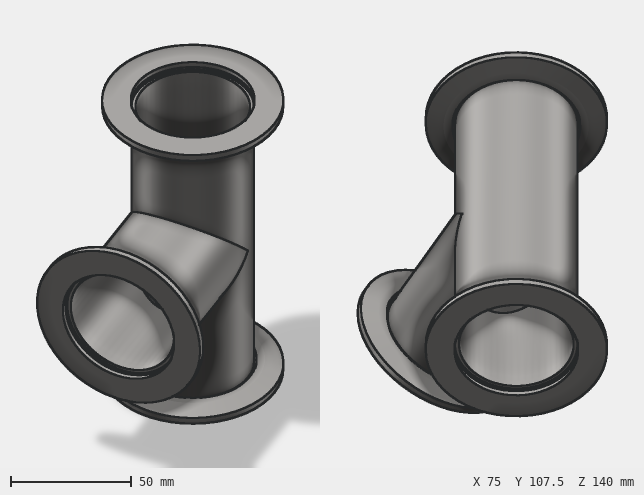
import cadquery as cq
import math

run_length = 140.0
half_run = run_length / 2
branch_reach = 70.0

tube_outer_radius = 50.8 / 2
tube_inner_radius = 47.5 / 2
tube_setback = 3.6

flange_outer_radius = 75.0 / 2
flange_hub_radius = 60.0 / 2
flange_thickness = 5.0
flange_taper_angle = 15.0
seat_radius = 51.0 / 2
mouth_radius = 51.2 / 2
mouth_depth = 2.5
weld_groove_radius = 52.9 / 2
weld_groove_depth = 1.1
taper_height = (flange_outer_radius - flange_hub_radius) * math.tan(math.radians(flange_taper_angle))
rim_thickness = flange_thickness - taper_height


def rod(radius, start, end):
    """Solid cylinder on the Z axis between two heights."""
    return cq.Workplane("XY").workplane(offset=start).circle(radius).extrude(end - start)


def toward_branch(body):
    """Turn a body from the +Z direction to the -Y direction."""
    return body.rotate((0, 0, 0), (1, 0, 0), 90)


def make_run_tube():
    """Straight tube, with a mitred V notch where the branch enters it."""
    tube_end = half_run - tube_setback
    tube = rod(tube_outer_radius, -tube_end, tube_end)
    tube = tube.cut(rod(tube_inner_radius, -tube_end, tube_end))
    return tube.cut(make_miter_wedge())


def make_branch_tube():
    """Branch tube, its inner end cut to the point that fills the notch."""
    tube_end = branch_reach - tube_setback
    tube = toward_branch(rod(tube_outer_radius, 0, tube_end).cut(rod(tube_inner_radius, 0, tube_end)))
    return tube.intersect(make_miter_wedge())


def make_miter_wedge():
    """Right-angled wedge opening toward -Y, with its edge on the X axis."""
    return (
        cq.Workplane("YZ")
        .polyline([(0, 0), (-branch_reach, branch_reach), (-branch_reach, -branch_reach)])
        .close()
        .extrude(tube_outer_radius * 2, both=True)
    )


def make_flange(face_height):
    """Flange on the Z axis with its sealing face pointing up at the given height."""
    back = face_height - flange_thickness
    profile = [
        (weld_groove_radius, back),
        (flange_hub_radius, back),
        (flange_outer_radius, face_height - rim_thickness),
        (flange_outer_radius, face_height),
        (mouth_radius, face_height),
        (mouth_radius, face_height - mouth_depth),
        (seat_radius, face_height - mouth_depth),
        (seat_radius, back + weld_groove_depth),
        (weld_groove_radius, back + weld_groove_depth),
    ]
    return cq.Workplane("XZ").polyline(profile).close().revolve(360, (0, 0, 0), (0, 1, 0))


run_tube = make_run_tube()
branch_tube = make_branch_tube()
run_flanges = [make_flange(half_run).rotate((0, 0, 0), (1, 0, 0), turn) for turn in (0, 180)]
branch_flange = toward_branch(make_flange(branch_reach))

result = cq.Compound.makeCompound(
    [run_tube.val(), branch_tube.val(), *[flange.val() for flange in run_flanges], branch_flange.val()]
)